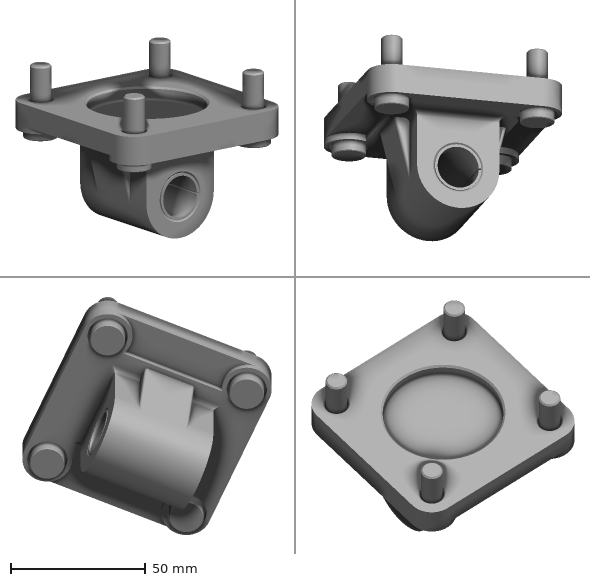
import cadquery as cq
import math


plate_side = 75.0
plate_thickness = 11.0
bolt_spacing = 56.5
corner_radius = (plate_side - bolt_spacing) / 2

pocket_diameter = 45.0
pocket_depth = 5.0
pocket_rim_chamfer = 0.75
pocket_floor_fillet = 1.0

relief_ceiling = 8.55
relief_wall = 24.0

bolt_hole_diameter = 9.0
bolt_hole_chamfer = 0.5
counterbore_diameter = 15.0

bolt_diameter = 8.0
bolt_projection = 13.5
bolt_end_chamfer = 0.6
head_diameter = 13.0
head_height = 8.0
head_projection = 3.5
head_chamfer = 0.3

eye_width = 40.0
eye_radius = 16.0
eye_drop = 32.0
eye_root_fillet = 2.0

rib_width = 20.0
rib_reach = 21.75
rib_edge_fillet = 1.0

bushing_outer_diameter = 18.0
bushing_inner_diameter = 16.0
bushing_slit = 0.5
bore_chamfer = 0.7

margin = 0.1

underside = -plate_thickness
head_bottom = underside - head_projection
head_seat = head_bottom + head_height
bushing_length = eye_width / 2

bolt_positions = [
    (x * bolt_spacing / 2, y * bolt_spacing / 2) for x in (-1, 1) for y in (-1, 1)
]


def make_plate():
    """Plate with round corner posts and a relief cut under its -Y and +Y edges."""
    relief_depth = plate_side / 2 - relief_wall
    relief_centre = relief_wall + relief_depth / 2
    base = cq.Workplane("XY").workplane(offset=underside)
    reliefs = (
        base.pushPoints([(0, -relief_centre), (0, relief_centre)])
        .rect(bolt_spacing, relief_depth)
        .extrude(plate_thickness - relief_ceiling)
    )
    corner_posts = base.pushPoints(bolt_positions).circle(corner_radius).extrude(plate_thickness)
    return (
        base.rect(plate_side, bolt_spacing)
        .extrude(plate_thickness)
        .union(base.rect(bolt_spacing, plate_side).extrude(plate_thickness))
        .cut(reliefs)
        .union(corner_posts)
    )


def make_eye():
    """Round-ended lug below the plate."""
    return (
        cq.Workplane("YZ")
        .workplane(offset=-eye_width / 2)
        .moveTo(-eye_radius, underside)
        .lineTo(-eye_radius, -eye_drop)
        .threePointArc((0, -eye_drop - eye_radius), (eye_radius, -eye_drop))
        .lineTo(eye_radius, underside)
        .close()
        .extrude(eye_width)
    )


def make_ribs():
    """Tapered web whose two sloping faces run tangent into the eye's round end."""
    foot_height = eye_drop - plate_thickness
    foot_distance = math.hypot(rib_reach, foot_height)
    foot_angle = math.atan2(foot_height, rib_reach)
    tangent_angle = foot_angle - math.acos(eye_radius / foot_distance)
    tangent_y = eye_radius * math.cos(tangent_angle)
    tangent_z = -eye_drop + eye_radius * math.sin(tangent_angle)
    return (
        cq.Workplane("YZ")
        .workplane(offset=-rib_width / 2)
        .moveTo(-rib_reach, underside)
        .lineTo(-tangent_y, tangent_z)
        .lineTo(tangent_y, tangent_z)
        .lineTo(rib_reach, underside)
        .close()
        .extrude(rib_width)
        .faces("<Y or >Y")
        .edges("not |X")
        .fillet(rib_edge_fillet)
    )


def revolve_profile(profile):
    """Solid of revolution about Z from an outline drawn as radius against height."""
    return profile.close().revolve(360, (0, 0, 0), (0, 1, 0))


def make_pocket():
    """Tool shape of the centring pocket: chamfered rim and filleted floor."""
    radius = pocket_diameter / 2
    return revolve_profile(
        cq.Workplane("XZ")
        .lineTo(radius + pocket_rim_chamfer, 0)
        .lineTo(radius, -pocket_rim_chamfer)
        .lineTo(radius, -pocket_depth + pocket_floor_fillet)
        .radiusArc((radius - pocket_floor_fillet, -pocket_depth), pocket_floor_fillet)
        .lineTo(0, -pocket_depth)
    )


def make_bolt_hole():
    """Tool shape of one bolt hole: chamfered through hole, counterbored from below."""
    radius = bolt_hole_diameter / 2
    return revolve_profile(
        cq.Workplane("XZ")
        .lineTo(radius + bolt_hole_chamfer, 0)
        .lineTo(radius, -bolt_hole_chamfer)
        .lineTo(radius, head_seat)
        .lineTo(counterbore_diameter / 2, head_seat)
        .lineTo(counterbore_diameter / 2, underside)
        .lineTo(0, underside)
    )


def make_bore():
    """Tool shape of the eye's bore along X, chamfered at both ends."""
    radius = bushing_outer_diameter / 2
    half_width = eye_width / 2
    return (
        cq.Workplane("XZ")
        .moveTo(-half_width, 0)
        .lineTo(-half_width, radius + bore_chamfer)
        .lineTo(-half_width + bore_chamfer, radius)
        .lineTo(half_width - bore_chamfer, radius)
        .lineTo(half_width, radius + bore_chamfer)
        .lineTo(half_width, 0)
        .close()
        .revolve(360, (0, 0, 0), (1, 0, 0))
        .translate((0, 0, -eye_drop))
    )


def make_bracket():
    """Plate, eye and ribs in one piece, with the pocket, bolt holes and bore cut out."""
    bracket = make_plate().union(make_eye())
    eye_root = cq.selectors.BoxSelector(
        (-eye_width / 2 - margin, -eye_radius - margin, underside - margin),
        (eye_width / 2 + margin, eye_radius + margin, underside + margin),
        boundingbox=True,
    )
    bracket = bracket.edges(eye_root).fillet(eye_root_fillet).union(make_ribs())
    bracket = bracket.cut(make_pocket()).cut(make_bore())
    for x, y in bolt_positions:
        bracket = bracket.cut(make_bolt_hole().translate((x, y, 0)))
    return bracket


def make_bolt(x, y):
    """Bolt with a chamfered end, pointing up, its head seated in the counterbore."""
    shank_radius = bolt_diameter / 2
    head_radius = head_diameter / 2
    return revolve_profile(
        cq.Workplane("XZ")
        .moveTo(0, head_bottom)
        .lineTo(head_radius - head_chamfer, head_bottom)
        .lineTo(head_radius, head_bottom + head_chamfer)
        .lineTo(head_radius, head_seat)
        .lineTo(shank_radius, head_seat)
        .lineTo(shank_radius, bolt_projection - bolt_end_chamfer)
        .lineTo(shank_radius - bolt_end_chamfer, bolt_projection)
        .lineTo(0, bolt_projection)
    ).translate((x, y, 0))


def make_bushing(start_x):
    """Bushing running toward +X from start_x, slit along its +Y side."""
    slit = cq.Workplane("XY").box(
        bushing_length, bushing_outer_diameter, bushing_slit, centered=(False, False, True)
    )
    return (
        cq.Workplane("YZ")
        .circle(bushing_outer_diameter / 2)
        .circle(bushing_inner_diameter / 2)
        .extrude(bushing_length)
        .cut(slit)
        .translate((start_x, 0, -eye_drop))
    )


bracket = make_bracket()
bolts = [make_bolt(x, y) for x, y in bolt_positions]
bushings = [make_bushing(start_x) for start_x in (-bushing_length, 0)]

result = cq.Compound.makeCompound([body.val() for body in [bracket, *bolts, *bushings]])